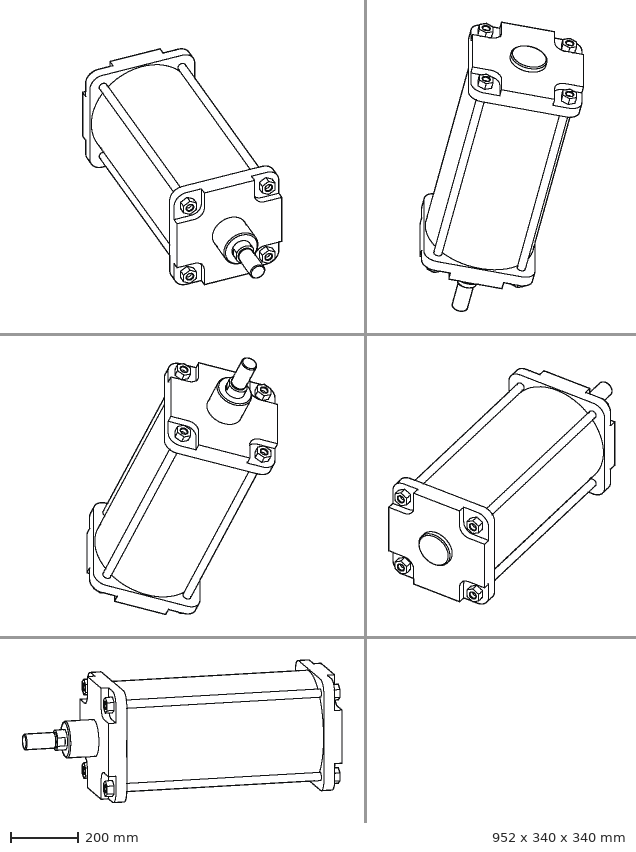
import cadquery as cq
import math

overall_length = 952.0

cover_side = 340.0
cover_corner_radius = 40.0
cover_thickness = 56.0
rear_cover_x = 16.0
front_cover_x = 736.0

nut_pocket_side = 89.0
nut_pocket_depth = 23.0
nut_pocket_radius = 33.0

barrel_radius = 166.0

spigot_radius = 55.0
front_spigot_length = 90.0
spigot_chamfer = 4.0

tie_rod_radius = 12.0
tie_rod_offset = 128.0
nut_sides = 6
nut_across_flats = 42.0
nut_thickness = 22.0
nut_socket_radius = 10.0
nut_socket_depth = 14.0
nut_socket_chamfer = 2.0

piston_rod_radius = 30.0
wrench_flat_distance = 28.0
wrench_flat_start_x = 833.0
shoulder_x = 856.0
relief_radius = 23.0
relief_length = 5.0
thread_radius = 24.0
thread_chamfer = 3.0

barrel_start_x = rear_cover_x + cover_thickness
barrel_end_x = front_cover_x - cover_thickness
rear_seat_x = rear_cover_x + nut_pocket_depth
front_seat_x = front_cover_x - nut_pocket_depth
thread_start_x = shoulder_x + relief_length
corners = [(sy, sz) for sy in (-1, 1) for sz in (-1, 1)]


def section(x):
    """Workplane across the cylinder axis at x: local x is Y, local y is Z, normal is +X."""
    return cq.Workplane("YZ", origin=(x, 0, 0))


def cylinder(start_x, end_x, radius):
    return section(start_x).circle(radius).extrude(end_x - start_x)


def make_cover(inner_x, outer_x):
    """Square cover with a nut pocket in each corner of its outer face and four tie rod holes."""
    start_x = min(inner_x, outer_x)
    seat_x = outer_x + math.copysign(nut_pocket_depth, inner_x - outer_x)
    pocket_start_x = min(seat_x, outer_x)
    cover = (
        section(start_x)
        .rect(cover_side, cover_side)
        .extrude(cover_thickness)
        .edges("|X")
        .fillet(cover_corner_radius)
    )
    for sy, sz in corners:
        pocket = (
            section(pocket_start_x)
            .center(sy * cover_side / 2, sz * cover_side / 2)
            .rect(2 * nut_pocket_side, 2 * nut_pocket_side)
            .extrude(nut_pocket_depth)
            .edges("|X")
            .fillet(nut_pocket_radius)
        )
        cover = cover.cut(pocket)
    tie_rod_holes = (
        section(start_x)
        .rect(2 * tie_rod_offset, 2 * tie_rod_offset, forConstruction=True)
        .vertices()
        .circle(tie_rod_radius)
        .extrude(cover_thickness)
    )
    return cover.cut(tie_rod_holes)


def make_rear_cover():
    spigot = cylinder(0, rear_cover_x, spigot_radius).faces("<X").chamfer(spigot_chamfer)
    return make_cover(barrel_start_x, rear_cover_x).union(spigot)


def make_front_cover():
    """Front cover with its long spigot, bored through for the piston rod."""
    spigot_end_x = front_cover_x + front_spigot_length
    spigot = cylinder(front_cover_x, spigot_end_x, spigot_radius).faces(">X").chamfer(spigot_chamfer)
    rod_bore = cylinder(barrel_end_x, spigot_end_x, piston_rod_radius)
    return make_cover(barrel_end_x, front_cover_x).union(spigot).cut(rod_bore)


def make_barrel():
    return cylinder(barrel_start_x, barrel_end_x, barrel_radius)


def make_piston_rod():
    """Stepped rod: full diameter with two wrench flats, a relief groove, then the rod thread."""
    shank = cylinder(barrel_end_x, shoulder_x, piston_rod_radius)
    flat_length = shoulder_x - wrench_flat_start_x
    for side in (-1, 1):
        block = (
            section(wrench_flat_start_x)
            .center(side * (wrench_flat_distance + piston_rod_radius), 0)
            .rect(2 * piston_rod_radius, 2 * piston_rod_radius)
            .extrude(flat_length)
        )
        shank = shank.cut(block)
    relief = cylinder(shoulder_x, thread_start_x, relief_radius)
    thread = cylinder(thread_start_x, overall_length, thread_radius).faces(">X").chamfer(thread_chamfer)
    return shank.union(relief).union(thread)


def make_tie_rod(y, z):
    """Tie rod between the pocket floors, with a hexagonal nut and a countersunk round socket at each end."""
    rod = cylinder(rear_seat_x, front_seat_x, tie_rod_radius)
    hexagon_diameter = nut_across_flats / math.cos(math.pi / nut_sides)
    for nut_x in (rear_seat_x - nut_thickness, front_seat_x):
        nut = (
            section(nut_x)
            .transformed(rotate=(0, 0, 90))
            .polygon(nut_sides, hexagon_diameter)
            .extrude(nut_thickness)
        )
        rod = rod.union(nut)
    for face in ("<X", ">X"):
        rod = (
            rod.faces(face)
            .workplane()
            .circle(nut_socket_radius)
            .cutBlind(-nut_socket_depth)
            .faces(face)
            .edges("%CIRCLE")
            .chamfer(nut_socket_chamfer)
        )
    return rod.translate((0, y, z))


rear_cover = make_rear_cover()
front_cover = make_front_cover()
barrel = make_barrel()
piston_rod = make_piston_rod()
tie_rods = [make_tie_rod(sy * tie_rod_offset, sz * tie_rod_offset) for sy, sz in corners]

result = cq.Compound.makeCompound(
    [
        rear_cover.val(),
        front_cover.val(),
        barrel.val(),
        piston_rod.val(),
        *[tie_rod.val() for tie_rod in tie_rods],
    ]
)